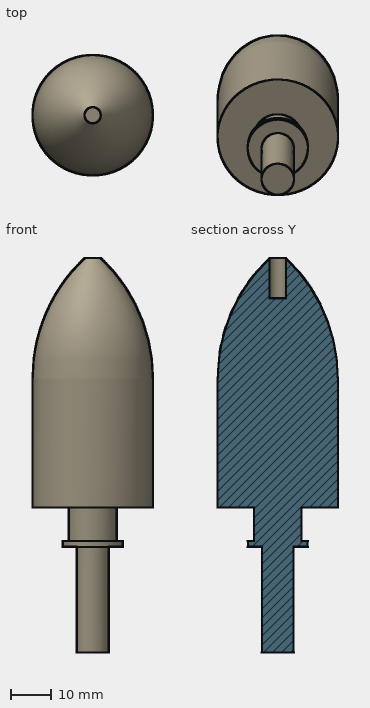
import cadquery as cq
import math

body_diameter = 30.0
neck_diameter = 12.0
flange_diameter = 15.0
stem_diameter = 8.0
tip_hole_diameter = 4.0

total_height = 98.0
nose_length = 30.0
body_length = 32.0
stem_length = 26.3
flange_thickness = 1.5
tip_hole_depth = 10.0

nose_base_z = total_height - nose_length
body_base_z = nose_base_z - body_length
flange_top_z = stem_length + flange_thickness

body_radius = body_diameter / 2
tip_radius = tip_hole_diameter / 2


def cylinder(diameter, bottom_z, top_z):
    """Make a cylinder on the Z axis between two heights."""
    return cq.Workplane("XY").workplane(offset=bottom_z).circle(diameter / 2).extrude(top_z - bottom_z)


def make_nose():
    """Revolve a circular arc that leaves the body wall tangentially and ends at the tip."""
    inset = body_radius - tip_radius
    arc_radius = (nose_length**2 + inset**2) / (2 * inset)
    half_angle = math.asin(nose_length / arc_radius) / 2
    arc_middle = (
        body_radius - arc_radius * (1 - math.cos(half_angle)),
        nose_base_z + arc_radius * math.sin(half_angle),
    )
    profile = (
        cq.Workplane("XZ")
        .moveTo(0, nose_base_z)
        .lineTo(body_radius, nose_base_z)
        .threePointArc(arc_middle, (tip_radius, total_height))
        .lineTo(0, total_height)
        .close()
    )
    return profile.revolve(360, (0, 0, 0), (0, 1, 0))


stem = cylinder(stem_diameter, 0, stem_length)
flange = cylinder(flange_diameter, stem_length, flange_top_z)
neck = cylinder(neck_diameter, flange_top_z, body_base_z)
body = cylinder(body_diameter, body_base_z, nose_base_z)

tip_hole = cylinder(tip_hole_diameter, total_height - tip_hole_depth, total_height)

result = stem.union(flange).union(neck).union(body).union(make_nose()).cut(tip_hole)